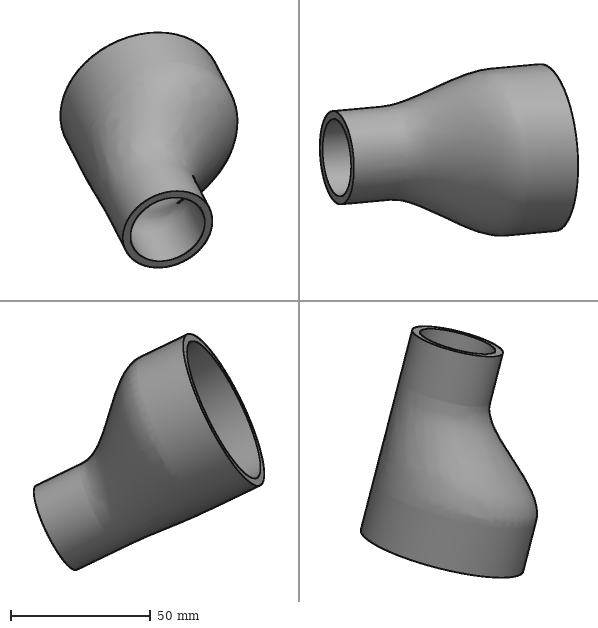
import cadquery as cq

length = 76.0
large_diameter = 60.3
small_diameter = 33.7
large_bore = 54.5
straight_length = 19.0
section_steps = 10

wall = (large_diameter - large_bore) / 2
transition_length = length - 2 * straight_length
small_axis_y = -(large_diameter - small_diameter) / 2


def smooth_step(t):
    """Cubic S-curve from 0 to 1 with level tangents at both ends."""
    return t * t * (3 - 2 * t)


def cylinder(x_start, axis_y, radius):
    """Straight stub running in +X from x_start."""
    return cq.Workplane("YZ", origin=(x_start, axis_y, 0)).circle(radius).extrude(straight_length)


def transition(inset):
    """Body between the stubs, with every circle reduced in radius by inset."""
    circles = []
    for step in range(section_steps + 1):
        t = step / section_steps
        blend = smooth_step(t)
        diameter = large_diameter + (small_diameter - large_diameter) * blend
        center = cq.Vector(straight_length + transition_length * t, small_axis_y * blend, 0)
        circles.append(cq.Wire.makeCircle(diameter / 2 - inset, center, cq.Vector(1, 0, 0)))
    return cq.Workplane(obj=cq.Solid.makeLoft(circles))


def reducer_body(inset):
    """Solid reducer shape, offset inward by inset."""
    large_end = cylinder(0, 0, large_diameter / 2 - inset)
    small_end = cylinder(length - straight_length, small_axis_y, small_diameter / 2 - inset)
    return large_end.union(transition(inset)).union(small_end)


result = reducer_body(0).cut(reducer_body(wall))